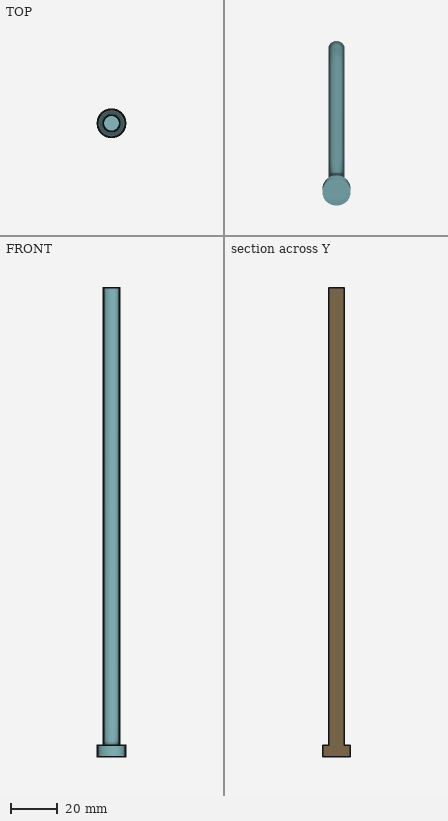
import cadquery as cq

total_length = 200.0
head_diameter = 12.0
head_height = 5.0
shank_diameter = 7.0

head = cq.Workplane("XY").circle(head_diameter / 2).extrude(head_height)

shank = cq.Workplane("XY").circle(shank_diameter / 2).extrude(total_length)

result = head.union(shank)